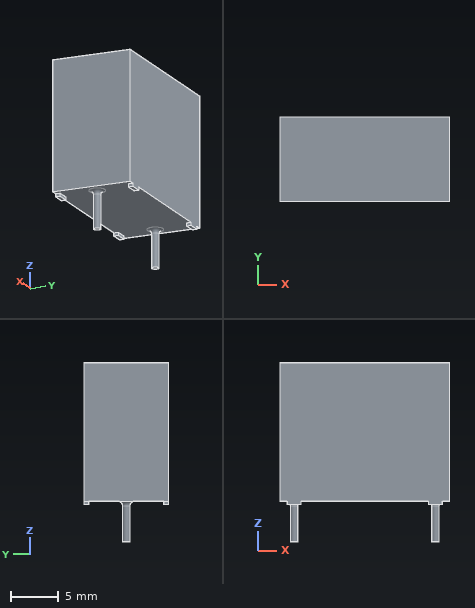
import cadquery as cq

total_height = 19.0
case_length = 18.0
case_width = 9.0
lead_length = 4.3
case_height = total_height - lead_length

lead_diameter = 0.8
lead_pitch = 15.0
collar_radius = 0.5

foot_length = 1.5
foot_width = 0.53
foot_height = 0.35

lead_radius = lead_diameter / 2
lead_positions = (-lead_pitch / 2, lead_pitch / 2)


def make_case():
    return cq.Workplane("XY").box(case_length, case_width, case_height, centered=(True, True, False))


def make_foot(x, side):
    """Rectangular foot under the case; side is -1 or 1 for the -Y or +Y edge."""
    y = side * (case_width - foot_width) / 2
    return cq.Workplane("XY").center(x, y).rect(foot_length, foot_width).extrude(-foot_height)


def make_lead(x):
    """Round lead with a concave quarter-round collar, revolved about its own axis."""
    profile = (
        cq.Workplane("XZ")
        .moveTo(0, 0)
        .lineTo(lead_radius + collar_radius, 0)
        .radiusArc((lead_radius, -collar_radius), -collar_radius)
        .lineTo(lead_radius, -lead_length)
        .lineTo(0, -lead_length)
        .close()
    )
    lead = profile.revolve(360, (0, 0, 0), (0, 1, 0))
    return lead.translate((x, 0, 0))


result = make_case()
for lead_x in lead_positions:
    result = result.union(make_lead(lead_x))
    for edge_side in (-1, 1):
        result = result.union(make_foot(lead_x, edge_side))